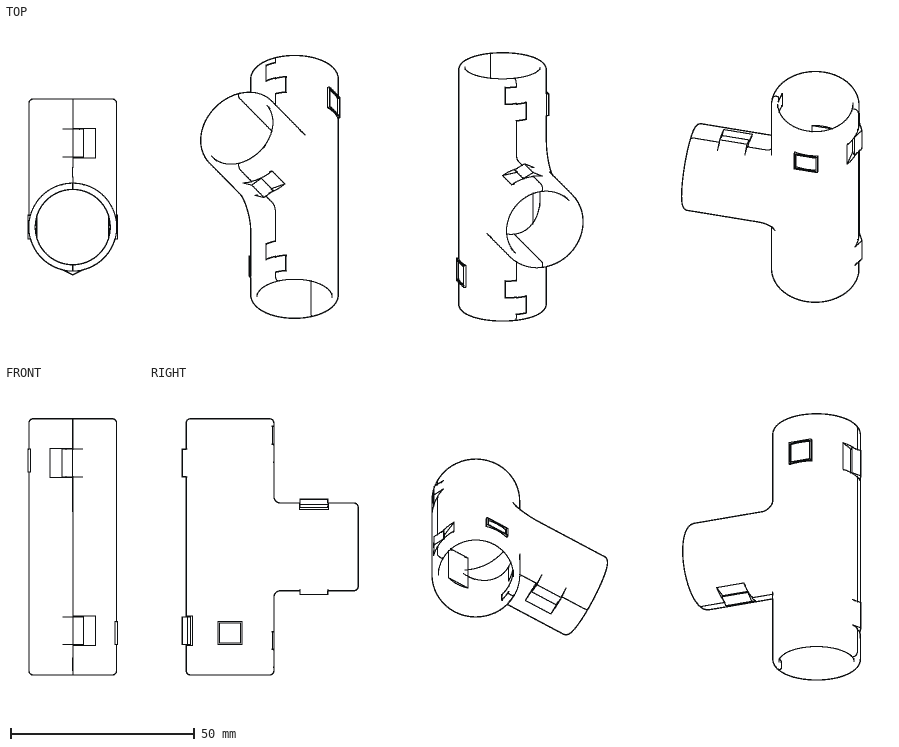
import cadquery as cq
import math

RUN_LENGTH = 69.9
BRANCH_REACH = RUN_LENGTH / 2
OUTER_RADIUS = 24.0 / 2
BORE_RADIUS = 20.5 / 2
MOUTH_FILLET = 1.25
MOUTH_FLARE = OUTER_RADIUS - BORE_RADIUS - MOUTH_FILLET
ELBOW_RADIUS = 13.7

STOP_HALF_GAP = 9.8
STOP_HALF_LENGTH = ELBOW_RADIUS

SNAP_OFFSET = 22.9
TAB_LENGTH = 7.6
TAB_HALF_WIDTH = 2.9
TAB_EAVE_HEIGHT = 11.6
TAB_RIDGE_HEIGHT = OUTER_RADIUS + 1.05
TAB_UNDERCUT = 1.05
WINDOW_LENGTH = 8.0
WINDOW_WIDTH = 6.2
WINDOW_EDGE_FLOOR = math.sqrt(OUTER_RADIUS**2 - WINDOW_WIDTH**2)
WINDOW_SEAM_FLOOR = 11.0

NOTCH_REACH = 3.1
NOTCH_LENGTH = 4.95
NOTCH_ROOT = 28.0
FINGER_GAP = 0.15

FRAME_WIDTH = 6.5
FRAME_HEIGHT = 6.3
FRAME_BORDER = 0.4
FRAME_FACE = 24.4 / 2
FRAME_OFFSET = 23.5

CLEAR = 2 * RUN_LENGTH


def box(x_range, y_range, z_range):
    """Axis-aligned box between the given (low, high) pairs."""
    sizes = [high - low for low, high in (x_range, y_range, z_range)]
    corner = (x_range[0], y_range[0], z_range[0])
    return cq.Workplane("XY").box(*sizes, centered=False).translate(corner)


def run_cylinder(radius):
    return cq.Workplane("XY").circle(radius).extrude(RUN_LENGTH / 2, both=True)


def branch_cylinder(radius):
    return cq.Workplane("XZ").circle(radius).extrude(-BRANCH_REACH)


def turned_about_x(shape, angle):
    return shape.rotate((0, 0, 0), (1, 0, 0), angle)


def flared_bore(length):
    """Bore along +Y from the centre of the tee, widening in a round at its mouth."""
    arc_depth = MOUTH_FLARE * (1 - math.cos(math.radians(45)))
    return (
        cq.Workplane("XY")
        .lineTo(BORE_RADIUS, 0)
        .lineTo(BORE_RADIUS, length - MOUTH_FLARE)
        .threePointArc(
            (BORE_RADIUS + arc_depth, length - arc_depth),
            (BORE_RADIUS + MOUTH_FLARE, length),
        )
        .lineTo(0, length)
        .close()
        .revolve(360, (0, 0, 0), (0, 1, 0))
    )


def elbow_blend():
    """Block beside the run, hollowed at both corners to the inner side of an elbow."""
    blend = box(
        (-OUTER_RADIUS, OUTER_RADIUS),
        (0, ELBOW_RADIUS),
        (-ELBOW_RADIUS, ELBOW_RADIUS),
    )
    for side in (-1, 1):
        corner_cutter = (
            cq.Workplane("XY", origin=(0, ELBOW_RADIUS, side * ELBOW_RADIUS))
            .moveTo(-OUTER_RADIUS, 0)
            .lineTo(-OUTER_RADIUS, -ELBOW_RADIUS)
            .threePointArc((0, OUTER_RADIUS - ELBOW_RADIUS), (OUTER_RADIUS, -ELBOW_RADIUS))
            .lineTo(OUTER_RADIUS, 0)
            .close()
            .revolve(360, (0, 0, 0), (1, 0, 0))
        )
        blend = blend.cut(corner_cutter)
    return blend


def bore_stops():
    """Two flats that narrow the middle of the run bore across X."""
    core = cq.Workplane("XY").circle(BORE_RADIUS).extrude(STOP_HALF_LENGTH, both=True)
    gap = box((-STOP_HALF_GAP, STOP_HALF_GAP), (-CLEAR, CLEAR), (-CLEAR, CLEAR))
    return core.cut(gap)


def tee_shell():
    run = run_cylinder(OUTER_RADIUS).faces("<Z or >Z").edges().fillet(MOUTH_FILLET)
    branch = branch_cylinder(OUTER_RADIUS).faces(">Y").edges().fillet(MOUTH_FILLET)
    shell = run.union(branch).union(elbow_blend())

    bores = flared_bore(BRANCH_REACH)
    for angle in (-90, 90):
        bores = bores.union(turned_about_x(flared_bore(RUN_LENGTH / 2), angle))
    return shell.cut(bores.cut(bore_stops()))


def snap_tab(center):
    """Ridged tab across the seam, rising to +Z, at the given place along Y."""
    base_half_width = TAB_HALF_WIDTH - TAB_UNDERCUT
    floor_slope = (WINDOW_SEAM_FLOOR - WINDOW_EDGE_FLOOR) / WINDOW_WIDTH
    base_height = WINDOW_SEAM_FLOOR - floor_slope * base_half_width
    return (
        cq.Workplane("XZ", origin=(0, center, 0))
        .moveTo(-base_half_width, base_height)
        .lineTo(0, WINDOW_SEAM_FLOOR)
        .lineTo(base_half_width, base_height)
        .lineTo(TAB_HALF_WIDTH, TAB_EAVE_HEIGHT)
        .lineTo(0, TAB_RIDGE_HEIGHT)
        .lineTo(-TAB_HALF_WIDTH, TAB_EAVE_HEIGHT)
        .close()
        .extrude(TAB_LENGTH / 2, both=True)
    )


def snap_window(center):
    """Recess on the -X side of the seam, open to +Z, with a flat floor rising to the seam."""
    return (
        cq.Workplane("XZ", origin=(0, center, 0))
        .moveTo(-WINDOW_WIDTH, WINDOW_EDGE_FLOOR)
        .lineTo(0, WINDOW_SEAM_FLOOR)
        .lineTo(0, TAB_RIDGE_HEIGHT)
        .lineTo(-WINDOW_WIDTH, TAB_RIDGE_HEIGHT)
        .close()
        .extrude(WINDOW_LENGTH / 2, both=True)
    )


def back_wall(x_range, z_range):
    """Piece of the run wall on its +Y side."""
    ring = run_cylinder(OUTER_RADIUS).cut(run_cylinder(BORE_RADIUS))
    return ring.intersect(box(x_range, (0, OUTER_RADIUS), z_range))


def label_frame():
    """Raised frame with a flat face on the -X side."""
    blank = box(
        (-FRAME_FACE, -BORE_RADIUS),
        (-FRAME_WIDTH / 2, FRAME_WIDTH / 2),
        (FRAME_OFFSET - FRAME_HEIGHT / 2, FRAME_OFFSET + FRAME_HEIGHT / 2),
    )
    inner_width = FRAME_WIDTH - 2 * FRAME_BORDER
    inner_height = FRAME_HEIGHT - 2 * FRAME_BORDER
    opening = cq.Workplane("XY").box(CLEAR, inner_width, inner_height).translate((0, 0, FRAME_OFFSET))
    return blank.cut(opening).cut(run_cylinder(OUTER_RADIUS - FRAME_BORDER))


def tee_half():
    """The -X half of the tee; the other half is the same part turned over."""
    half = tee_shell().intersect(box((-CLEAR, 0), (-CLEAR, CLEAR), (-CLEAR, CLEAR)))

    half = half.cut(turned_about_x(snap_window(SNAP_OFFSET), 90))
    half = half.cut(turned_about_x(snap_window(-SNAP_OFFSET), 180))

    half = half.union(turned_about_x(snap_tab(-SNAP_OFFSET), 90))
    half = half.union(snap_tab(SNAP_OFFSET))

    for root in (-NOTCH_ROOT, NOTCH_ROOT):
        finger_heights = (root + FINGER_GAP, root + NOTCH_LENGTH - FINGER_GAP)
        half = half.union(back_wall((0, NOTCH_REACH - FINGER_GAP), finger_heights))
        half = half.cut(back_wall((-NOTCH_REACH, 0), (root - NOTCH_LENGTH, root)))

    return half.union(label_frame())


left_half = tee_half()
right_half = left_half.rotate((0, 0, 0), (0, 1, 0), 180)

result = cq.Compound.makeCompound([left_half.val(), right_half.val()])